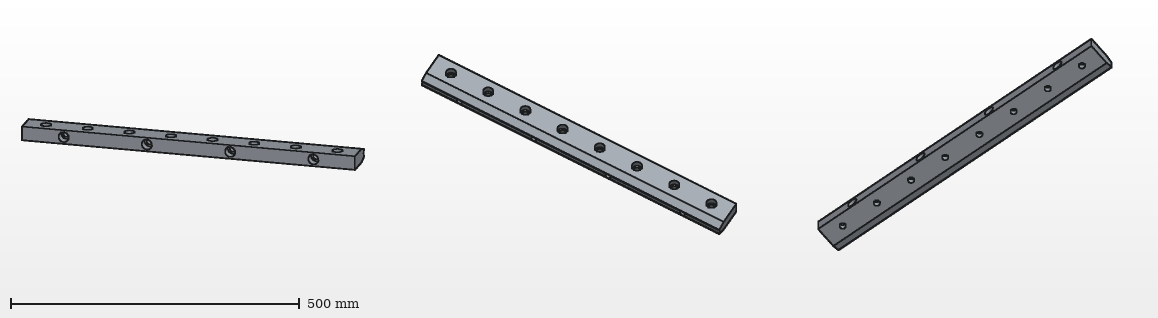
import cadquery as cq
import math

length = 599.5
width = 58.0
thickness = 25.0

taper_run = 15.0
taper_angle = 20.0
nose_hollow_depth = 2.0
nose_lip_height = 2.5

hole_diameter = 11.0
counterbore_diameter = 18.0
top_counterbore_depth = 12.5
front_counterbore_depth = 18.0
top_hole_count = 8
front_hole_count = 4
top_hole_setback = 21.5

front_y = -width / 2
back_y = width / 2
top_z = thickness / 2
nose_half_height = top_z - taper_run * math.tan(math.radians(taper_angle))
hollow_half_height = nose_half_height - nose_lip_height


def make_bar():
    """Extrude the tapered profile, with its shallow concave nose, along X."""
    taper_start_y = back_y - taper_run
    return (
        cq.Workplane("YZ", origin=(-length / 2, 0, 0))
        .moveTo(front_y, -top_z)
        .lineTo(taper_start_y, -top_z)
        .lineTo(back_y, -nose_half_height)
        .lineTo(back_y, -hollow_half_height)
        .threePointArc((back_y - nose_hollow_depth, 0), (back_y, hollow_half_height))
        .lineTo(back_y, nose_half_height)
        .lineTo(taper_start_y, top_z)
        .lineTo(front_y, top_z)
        .close()
        .extrude(length)
    )


def cut_hole_row(bar, entry_plane, count, counterbore_depth):
    """Cut evenly pitched counterbored holes, half a pitch in from each end."""
    pitch = length / count
    return (
        bar.copyWorkplane(entry_plane)
        .rarray(pitch, 6, count, 1)
        .cboreHole(hole_diameter, counterbore_diameter, counterbore_depth)
    )


top_plane = cq.Workplane("XY", origin=(0, front_y + top_hole_setback, top_z))
front_plane = cq.Workplane("XZ", origin=(0, front_y, 0))

result = make_bar()
result = cut_hole_row(result, top_plane, top_hole_count, top_counterbore_depth)
result = cut_hole_row(result, front_plane, front_hole_count, front_counterbore_depth)